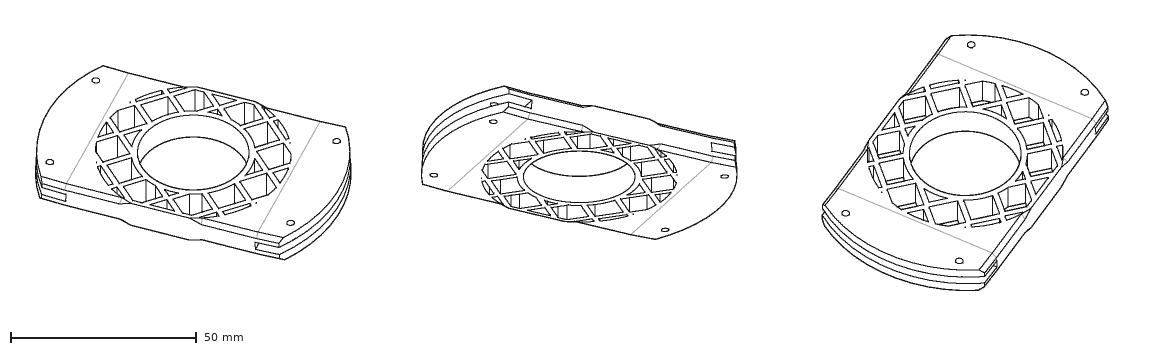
import cadquery as cq
import math

length = 85.0
width = 50.0
thickness = 8.0
fold_x = 27.5
tilt = 2.6
edge_chamfer = 1.3

slot_height = 2.55
slot_start_x = 27.0

pin_diameter = 2.0
pin_x = 34.6
pin_y = 17.5

bore_diameter = 30.0
ring_wall = 1.7
insert_radius = 26.3
side_wall = edge_chamfer

cell_side = 8.0
cell_step_x = 7.1
cell_step_y = 6.5
cell_columns = 4
cell_rows = 4

cutter_margin = 8.5

tilt_angle = math.radians(tilt)
half_length = length / 2
reach = half_length + cutter_margin
bottom_fold_x = fold_x + thickness * math.tan(tilt_angle / 2)
tip_run = (half_length - fold_x - thickness * math.sin(tilt_angle)) / math.cos(tilt_angle)
tip_radius = fold_x + tip_run


def tilted_right(shape):
    """Tilt a right-hand shape upward about the top crease."""
    return shape.rotate((fold_x, 0, thickness), (fold_x, 1, thickness), -tilt)


def cut_both_ends(body, cutter):
    """Remove a right-hand cutter and its mirror image at the left."""
    return body.cut(cutter).cut(cutter.mirror("YZ"))


def bent_plate():
    """Flat plate with upward wings and chamfered long edges."""
    rise = math.tan(tilt_angle)
    bottom_end = (reach - bottom_fold_x) * rise
    top_end = thickness + (reach - fold_x) * rise
    right_half = [(bottom_fold_x, 0), (reach, bottom_end), (reach, top_end), (fold_x, thickness)]
    left_half = [(-x, z) for x, z in reversed(right_half)]
    plate = cq.Workplane("XZ").polyline(right_half + left_half).close().extrude(width / 2, both=True)
    long_edges = plate.faces("<Y or >Y").edges("not |Z")
    return long_edges.chamfer(edge_chamfer)


def round_insert():
    """Disc with bevelled rims that interrupts the edge chamfers at the sides."""
    disc = cq.Workplane("XY").circle(insert_radius + edge_chamfer).extrude(thickness)
    disc = disc.faces("<Z or >Z").chamfer(edge_chamfer)
    return disc.intersect(cq.Workplane("XY").rect(length, width).extrude(thickness))


def tip_cutter():
    """Stock outside the round end of the right wing."""
    depth = 3 * thickness
    stock = cq.Workplane("XY").box(reach, 2 * width, depth).translate((fold_x + reach / 2, 0, thickness / 2))
    disc = cq.Workplane("XY").circle(tip_radius).extrude(2 * depth, both=True)
    return tilted_right(stock.cut(disc))


def slot_cutter():
    """Gap between the two leaves of the right wing."""
    slot = cq.Workplane("XY").box(reach, 2 * width, slot_height)
    return tilted_right(slot.translate((slot_start_x + reach / 2, 0, thickness / 2)))


def pin_cutter():
    """Two pin holes through both leaves of the right wing."""
    pins = cq.Workplane("XY").pushPoints([(pin_x, pin_y), (pin_x, -pin_y)])
    return tilted_right(pins.circle(pin_diameter / 2).extrude(2 * thickness, both=True))


def lattice_openings():
    """Staggered square openings, limited to the insert and clear of the bore ring."""
    centres = []
    for column in range(-cell_columns, cell_columns + 1):
        for row in range(-cell_rows, cell_rows + 1):
            if (column + row) % 2 != 0:
                continue
            centres.append((column * cell_step_x, row * cell_step_y))
    cells = (
        cq.Workplane("XY")
        .pushPoints(centres)
        .polygon(4, cell_side * math.sqrt(2))
        .extrude(thickness)
    )
    span_y = width - 2 * side_wall
    area = cq.Workplane("XY").circle(insert_radius).extrude(thickness)
    area = area.intersect(cq.Workplane("XY").rect(length, span_y).extrude(thickness))
    ring = cq.Workplane("XY").circle(bore_diameter / 2 + ring_wall).extrude(thickness)
    return cells.intersect(area).cut(ring)


body = bent_plate().union(round_insert())
for cutter in (tip_cutter(), slot_cutter(), pin_cutter()):
    body = cut_both_ends(body, cutter)

bore = cq.Workplane("XY").circle(bore_diameter / 2).extrude(thickness)
result = body.cut(lattice_openings()).cut(bore)